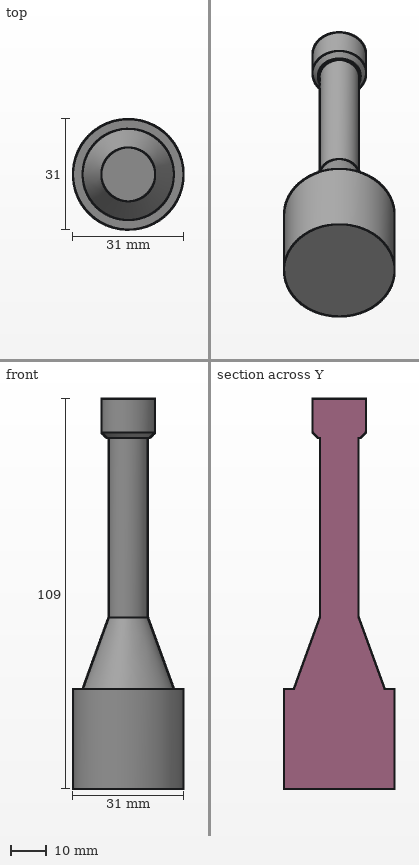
import cadquery as cq

total_height = 109.0
base_diameter = 31.0
base_height = 28.0
cone_bottom_diameter = 25.5
cone_height = 20.0
stem_diameter = 11.0
head_diameter = 15.0
head_height = 11.0
head_chamfer = 1.5

cone_top = base_height + cone_height
head_bottom = total_height - head_height
head_chamfer_top = head_bottom + head_chamfer

half_outline = (
    cq.Workplane("XZ")
    .moveTo(0, 0)
    .lineTo(base_diameter / 2, 0)
    .lineTo(base_diameter / 2, base_height)
    .lineTo(cone_bottom_diameter / 2, base_height)
    .lineTo(stem_diameter / 2, cone_top)
    .lineTo(stem_diameter / 2, head_bottom)
    .lineTo(head_diameter / 2 - head_chamfer, head_bottom)
    .lineTo(head_diameter / 2, head_chamfer_top)
    .lineTo(head_diameter / 2, total_height)
    .lineTo(0, total_height)
    .close()
)

result = half_outline.revolve(360, (0, 0, 0), (0, 1, 0))